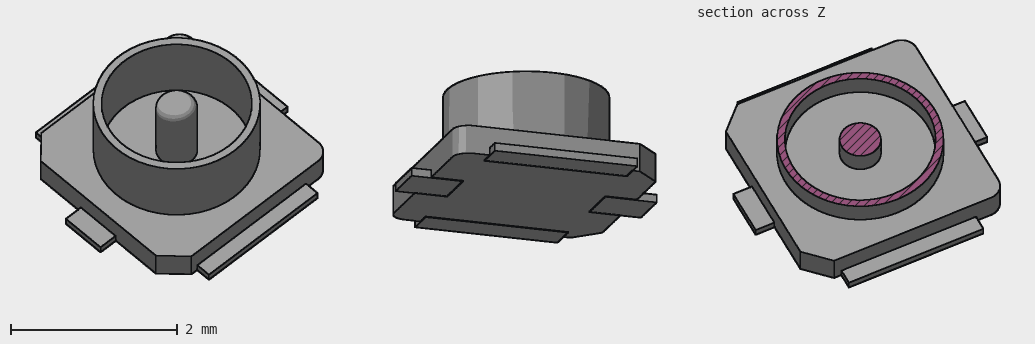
import cadquery as cq

length_x = 3.0
length_y = 3.1
height = 1.25

base_side = 2.6
base_bottom = 0.01
base_top = 0.36
corner_radius = 0.2
corner_chamfer = 0.3

pad_thickness = 0.1
side_pad_width = 1.8
end_pad_width = 0.6
side_pad_depth = 0.4
end_pad_depth = 0.65

shell_outer_diameter = 2.0
shell_inner_diameter = 1.8
pin_diameter = 0.5
pin_rounding = 0.1


def make_base():
    """Square plate with rounded rear corners and chamfered front corners."""
    plate = (
        cq.Workplane("XY")
        .workplane(offset=base_bottom)
        .rect(base_side, base_side)
        .extrude(base_top - base_bottom)
    )
    plate = plate.edges("|Z and >Y").fillet(corner_radius)
    return plate.edges("|Z and <Y").chamfer(corner_chamfer)


def make_pad(size_x, size_y, center_x, center_y):
    """Flat solder pad resting on the ground plane."""
    return (
        cq.Workplane("XY")
        .center(center_x, center_y)
        .rect(size_x, size_y)
        .extrude(pad_thickness)
    )


def make_shell():
    """Open-topped tube standing on the base."""
    return (
        cq.Workplane("XY")
        .workplane(offset=base_top)
        .circle(shell_outer_diameter / 2)
        .circle(shell_inner_diameter / 2)
        .extrude(height - base_top)
    )


def make_pin():
    """Centre contact with a rounded tip."""
    pin = (
        cq.Workplane("XY")
        .workplane(offset=base_top)
        .circle(pin_diameter / 2)
        .extrude(height - base_top)
    )
    return pin.faces(">Z").edges().fillet(pin_rounding)


result = make_base().union(make_shell()).union(make_pin())

for side in (-1, 1):
    side_pad_x = side * (length_x - side_pad_depth) / 2
    end_pad_y = side * (length_y - end_pad_depth) / 2
    result = result.union(make_pad(side_pad_depth, side_pad_width, side_pad_x, 0))
    result = result.union(make_pad(end_pad_width, end_pad_depth, 0, end_pad_y))